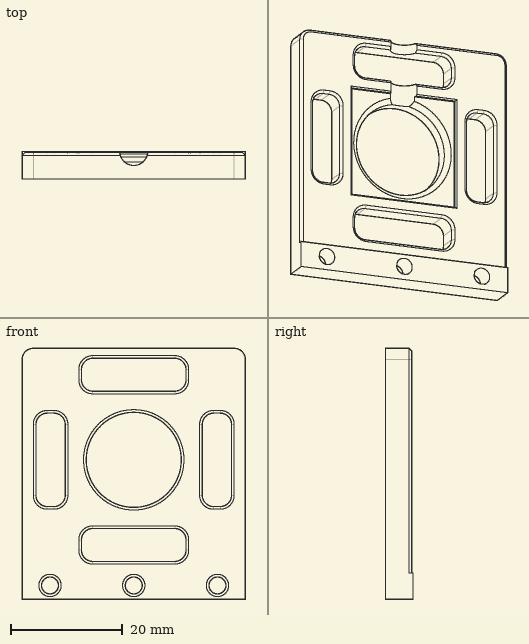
import cadquery as cq

width = 40.0
height = 45.0
plate_thickness = 4.75
top_corner_radius = 2.0
edge_chamfer = 0.5
chamfer_angle = 45.0

foot_thickness = 4.95
foot_height = 4.75

bore_z = 25.0
bore_radius = 8.5
recess_size = 20.0
recess_depth = 0.75
recess_chamfer = 0.25
recess_floor_y = plate_thickness - recess_depth
flare_depth = 0.95
flare_start_y = recess_floor_y - flare_depth

window_corner_radius = 2.0
wide_window_length = 18.7
wide_window_height = 5.85
wide_window_offset = 15.25
tall_window_width = 5.2
tall_window_length = 16.7
tall_window_offset = 14.9

hole_radius = 1.5
hole_spacing = 15.0
hole_z = 2.5

groove_radius = 2.5
groove_center_y = foot_thickness


def plane_at(y):
    """Work plane at depth y facing the back (+Y); its local x axis is -X and its local y axis is Z."""
    return cq.Plane(origin=(0, y, 0), xDir=(-1, 0, 0), normal=(0, 1, 0))


def make_body():
    """Plate with rounded top corners and a chamfered back rim, plus the foot."""
    plate = cq.Workplane("XY").box(width, plate_thickness, height, centered=(True, False, False))
    plate = plate.edges("|Y and >Z").fillet(top_corner_radius)
    plate = plate.faces(">Y").edges("not <Z").chamfer(edge_chamfer)
    foot = cq.Workplane("XY").box(width, foot_thickness, foot_height, centered=(True, False, False))
    return plate.union(foot)


def cone(x, z, start_y, depth, start_radius, end_radius):
    """Truncated cone along +Y."""
    start = cq.Vector(x, start_y, z)
    solid = cq.Solid.makeCone(start_radius, end_radius, depth, start, cq.Vector(0, 1, 0))
    return cq.Workplane(obj=solid)


def round_hole(x, z, radius):
    """Through cutter with a countersink at the front face."""
    drill = cq.Workplane(plane_at(0)).center(-x, z).circle(radius).extrude(foot_thickness)
    countersink = cone(x, z, 0, edge_chamfer, radius + edge_chamfer, radius)
    return drill.union(countersink)


def rounded_prism(x, z, size_x, size_z, radius, start_y, depth, taper=0):
    """Rounded rectangular cutter along +Y; a positive taper (degrees) narrows it toward the back."""
    sketch = cq.Sketch().rect(size_x, size_z).vertices().fillet(radius)
    return cq.Workplane(plane_at(start_y)).center(-x, z).placeSketch(sketch).extrude(depth, taper=taper)


def window(x, z, size_x, size_z):
    """Rounded through cutter that flares at both the front and the back face."""
    flare_y = plate_thickness - edge_chamfer
    straight = rounded_prism(x, z, size_x, size_z, window_corner_radius, 0, plate_thickness)
    front_flare = rounded_prism(
        x,
        z,
        size_x + 2 * edge_chamfer,
        size_z + 2 * edge_chamfer,
        window_corner_radius + edge_chamfer,
        0,
        edge_chamfer,
        taper=chamfer_angle,
    )
    back_flare = rounded_prism(
        x, z, size_x, size_z, window_corner_radius, flare_y, edge_chamfer, taper=-chamfer_angle
    )
    return straight.union(front_flare).union(back_flare)


def bore():
    """Bore cutter with its front chamfer, conical flare and chamfered square recess."""
    flare = cone(0, bore_z, flare_start_y, flare_depth, bore_radius, bore_radius + flare_depth)
    recess = (
        cq.Workplane(plane_at(recess_floor_y))
        .center(0, bore_z)
        .rect(recess_size, recess_size)
        .extrude(recess_depth)
    )
    mouth_size = recess_size + 2 * recess_chamfer
    recess_mouth = (
        cq.Workplane(plane_at(plate_thickness - recess_chamfer))
        .center(0, bore_z)
        .rect(recess_size, recess_size)
        .workplane(offset=recess_chamfer)
        .rect(mouth_size, mouth_size)
        .loft()
    )
    return round_hole(0, bore_z, bore_radius).union(flare).union(recess).union(recess_mouth)


def groove():
    """Vertical round cutter running from the bore centre out of the top edge."""
    return (
        cq.Workplane("XY", origin=(0, groove_center_y, bore_z))
        .circle(groove_radius)
        .extrude(height - bore_z)
    )


result = make_body().cut(bore()).cut(groove())
for side in (-1, 1):
    wide_z = bore_z + side * wide_window_offset
    result = result.cut(window(0, wide_z, wide_window_length, wide_window_height))
    result = result.cut(window(side * tall_window_offset, bore_z, tall_window_width, tall_window_length))
for x in (-hole_spacing, 0, hole_spacing):
    result = result.cut(round_hole(x, hole_z, hole_radius))